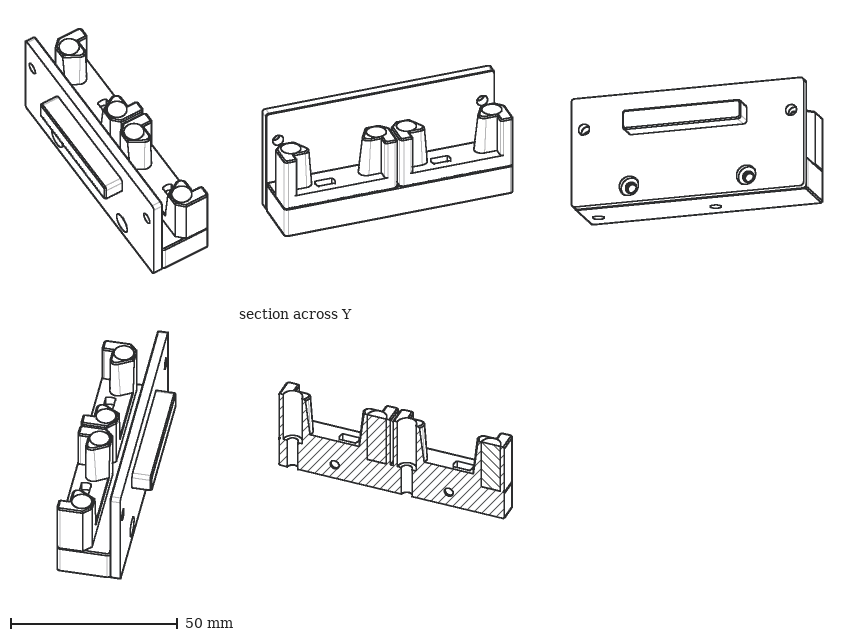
import cadquery as cq
import math

length = 73.25
corner_radius = 1.0
edge_chamfer = 0.45

base_depth = 16.4
base_height = 10.0

pair_gap = 0.7
pair_width = (length - pair_gap) / 2
pair_pitch = pair_width + pair_gap
post_top = 26.6
post_depth = 10.4
post_front = base_depth - post_depth
post_bevel = 2.4
arm_width = 4.1
arm_length = 3.3
arm_inner_radius = 0.7
flank_angle = math.radians(30)
flank_foot = 8.1
flank_lean = 1.55
nose_radius_foot = 2.35
nose_radius_top = 1.75

floor_top = 14.1
floor_chamfer = 0.2

recess_diameter = 6.1
recess_width = 3.0
recess_depth = 3.0
recess_offset = 3.65
recess_setback = 4.25

rod_diameter = 6.0
clearance_diameter = 3.4
bore_inset = 4.5
bore_setback = 6.8
bore_bottom = base_height

plate_thickness = 3.1
plate_height = 34.0
plate_back_chamfer = 0.2
bar_length = 37.35
bar_height = 6.0
bar_depth = 6.0
bar_level = 24.0
side_hole_spacing = 65.35

screw_level = base_height / 2
screw_head_diameter = 6.0
screw_head_depth = 2.0
pilot_diameter = 2.7
pilot_depth = 10.0

pair_centres = [-pair_pitch / 2, pair_pitch / 2]
bore_offset = pair_width / 2 - bore_inset
bore_y = base_depth - bore_setback


def post_outline(foot, nose_radius, level):
    """Outline of a left-hand post at one height; X = 0 is the outer side of the pair."""
    nose_y = base_depth - arm_length
    nose_x = foot + (nose_y - post_front) * math.tan(flank_angle)
    reach = nose_radius / math.tan(math.radians(45) - flank_angle / 2)
    centre_x = nose_x - reach
    centre_y = nose_y - nose_radius
    half_turn = (math.radians(90) - flank_angle) / 2
    nose_mid = (
        centre_x + nose_radius * math.cos(half_turn),
        centre_y + nose_radius * math.sin(half_turn),
    )
    nose_end = (nose_x - reach * math.sin(flank_angle), nose_y - reach * math.cos(flank_angle))
    diagonal = 1 - math.sqrt(0.5)
    return (
        cq.Workplane("XY", origin=(0, 0, level))
        .moveTo(0, post_front + post_bevel)
        .lineTo(0, base_depth - corner_radius)
        .threePointArc(
            (diagonal * corner_radius, base_depth - diagonal * corner_radius),
            (corner_radius, base_depth),
        )
        .lineTo(arm_width - arm_inner_radius, base_depth)
        .threePointArc(
            (arm_width - diagonal * arm_inner_radius, base_depth - diagonal * arm_inner_radius),
            (arm_width, base_depth - arm_inner_radius),
        )
        .lineTo(arm_width, nose_y)
        .lineTo(centre_x, nose_y)
        .threePointArc(nose_mid, nose_end)
        .lineTo(foot, post_front)
        .lineTo(post_bevel, post_front)
        .close()
    )


def make_post():
    """Left-hand post: straight up to the floor, then with its inner flank leaning back."""
    lower = post_outline(flank_foot, nose_radius_foot, base_height).extrude(floor_top - base_height)
    foot_wire = post_outline(flank_foot, nose_radius_foot, floor_top).wire().val()
    top_wire = post_outline(flank_foot - flank_lean, nose_radius_top, post_top).wire().val()
    upper = cq.Workplane(cq.Solid.makeLoft([foot_wire, top_wire], True))
    upper = upper.faces(">Z").chamfer(edge_chamfer)
    return lower.union(upper)


def make_recess():
    """Double-D cutter, centred on the Z axis, that hangs below the floor."""
    barrel = cq.Workplane("XY").circle(recess_diameter / 2).extrude(recess_depth)
    flats = cq.Workplane("XY").box(
        recess_diameter, recess_width, recess_depth, centered=(True, True, False)
    )
    return barrel.intersect(flats).translate((0, 0, floor_top - recess_depth))


def make_pair():
    """Two mirrored posts and the raised floor between them, centred on X = 0."""
    left_post = make_post().translate((-pair_width / 2, 0, 0))
    floor = (
        cq.Workplane("XY", origin=(0, post_front, base_height))
        .box(
            pair_width - 2 * post_bevel,
            post_depth,
            floor_top - base_height,
            centered=(True, False, False),
        )
        .faces("<Y").edges(">Z").chamfer(floor_chamfer)
    )
    pair = floor.union(left_post).union(left_post.mirror("YZ"))
    return pair.cut(make_recess().translate((recess_offset, base_depth - recess_setback, 0)))


def make_pilot_hole(centre):
    """Blind screw hole in the front of the base, countersunk to the clearance diameter."""
    countersink_depth = (clearance_diameter - pilot_diameter) / 2
    profile = (
        cq.Workplane("XY")
        .lineTo(clearance_diameter / 2, 0)
        .lineTo(pilot_diameter / 2, countersink_depth)
        .lineTo(pilot_diameter / 2, pilot_depth)
        .lineTo(0, pilot_depth)
        .close()
    )
    return profile.revolve(360, (0, 0, 0), (0, 1, 0)).translate((centre, 0, screw_level))


def make_base():
    """Base block with both pairs of posts and all its bores."""
    base = (
        cq.Workplane("XY")
        .box(length, base_depth, base_height, centered=(True, False, False))
        .edges("|Z").fillet(corner_radius)
        .faces("<Z or >Z").chamfer(edge_chamfer)
    )
    for centre in pair_centres:
        base = base.union(make_pair().translate((centre, 0, 0)))
        for side in (-1, 1):
            bore = (
                cq.Workplane("XY", origin=(centre + side * bore_offset, bore_y, bore_bottom))
                .circle(rod_diameter / 2)
                .extrude(post_top - bore_bottom)
            )
            base = base.cut(bore)
        through_hole = (
            cq.Workplane("XY", origin=(centre - bore_offset, bore_y, 0))
            .circle(clearance_diameter / 2)
            .extrude(bore_bottom)
        )
        base = base.cut(through_hole).cut(make_pilot_hole(centre))
    return base


def make_plate():
    """Front plate with its bar, two plain holes and two counterbored screw holes."""
    plate = (
        cq.Workplane("XY", origin=(0, -plate_thickness, 0))
        .box(length, plate_thickness, plate_height, centered=(True, False, False))
        .edges("|Y").fillet(corner_radius)
        .faces(">Y").chamfer(plate_back_chamfer)
    )
    bar = (
        cq.Workplane("XY", origin=(0, -plate_thickness - bar_depth, bar_level))
        .box(bar_length, bar_depth, bar_height, centered=(True, False, True))
        .edges("|Y").fillet(corner_radius)
        .faces("<Y").chamfer(edge_chamfer)
    )
    plate = plate.union(bar)
    front = cq.Workplane("XZ", origin=(0, -plate_thickness, 0))
    side_holes = (
        front.pushPoints([(side * side_hole_spacing / 2, bar_level) for side in (-1, 1)])
        .circle(clearance_diameter / 2)
        .extrude(-plate_thickness)
    )
    screw_points = [(centre, screw_level) for centre in pair_centres]
    screw_holes = (
        front.pushPoints(screw_points).circle(clearance_diameter / 2).extrude(-plate_thickness)
    )
    screw_heads = (
        front.pushPoints(screw_points).circle(screw_head_diameter / 2).extrude(-screw_head_depth)
    )
    return plate.cut(side_holes).cut(screw_holes).cut(screw_heads)


def make_rod(centre):
    """Rod that fills the bore of a right-hand post, flush with its top."""
    return (
        cq.Workplane("XY", origin=(centre + bore_offset, bore_y, bore_bottom))
        .circle(rod_diameter / 2)
        .extrude(post_top - bore_bottom)
    )


base = make_base()
plate = make_plate()
rods = [make_rod(centre) for centre in pair_centres]

result = cq.Compound.makeCompound([base.val(), plate.val(), *[rod.val() for rod in rods]])